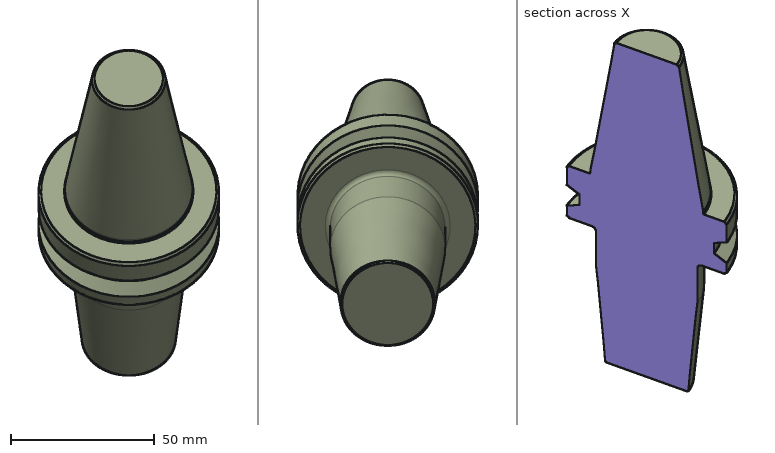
import cadquery as cq
import math

total_height = 155.4
gauge_z = 90.0
flange_top_z = 88.1
flange_bottom_z = 63.0
body_taper_z = 44.8

flange_radius = 31.47
groove_radius = 26.5
gauge_radius = 22.2
body_radius = 20.0
nose_radius = 16.5

taper_slope = 7 / 48
taper_end_radius = gauge_radius - taper_slope * (total_height - gauge_z)

groove_top_z = 78.5
groove_bottom_z = 68.7
wall_angle = 63
wall_rise = (flange_radius - groove_radius) / math.tan(math.radians(wall_angle))

flange_chamfer = 1.0
nose_chamfer = 0.6
taper_end_chamfer = 0.8
neck_fillet = 1.7
base_flare_width = 0.3
base_flare_height = 0.8

neck_center_r = body_radius + neck_fillet
neck_center_z = flange_bottom_z - neck_fillet
neck_mid_offset = neck_fillet * math.sqrt(0.5)


def holder_profile():
    """Closed half section in the XZ plane, from the nose up to the taper end."""
    return (
        cq.Workplane("XZ")
        .moveTo(0, 0)
        .lineTo(nose_radius - nose_chamfer, 0)
        .lineTo(nose_radius, nose_chamfer)
        .lineTo(body_radius, body_taper_z)
        .lineTo(body_radius, neck_center_z)
        .threePointArc(
            (neck_center_r - neck_mid_offset, neck_center_z + neck_mid_offset),
            (neck_center_r, flange_bottom_z),
        )
        .lineTo(flange_radius - flange_chamfer, flange_bottom_z)
        .lineTo(flange_radius, flange_bottom_z + flange_chamfer)
        .lineTo(flange_radius, groove_bottom_z)
        .lineTo(groove_radius, groove_bottom_z + wall_rise)
        .lineTo(groove_radius, groove_top_z - wall_rise)
        .lineTo(flange_radius, groove_top_z)
        .lineTo(flange_radius, flange_top_z - flange_chamfer)
        .lineTo(flange_radius - flange_chamfer, flange_top_z)
        .lineTo(gauge_radius + base_flare_width, flange_top_z)
        .lineTo(gauge_radius, flange_top_z + base_flare_height)
        .lineTo(gauge_radius, gauge_z)
        .lineTo(
            taper_end_radius + taper_slope * taper_end_chamfer,
            total_height - taper_end_chamfer,
        )
        .lineTo(taper_end_radius - taper_end_chamfer, total_height)
        .lineTo(0, total_height)
        .close()
    )


result = holder_profile().revolve(360, (0, 0, 0), (0, 1, 0))